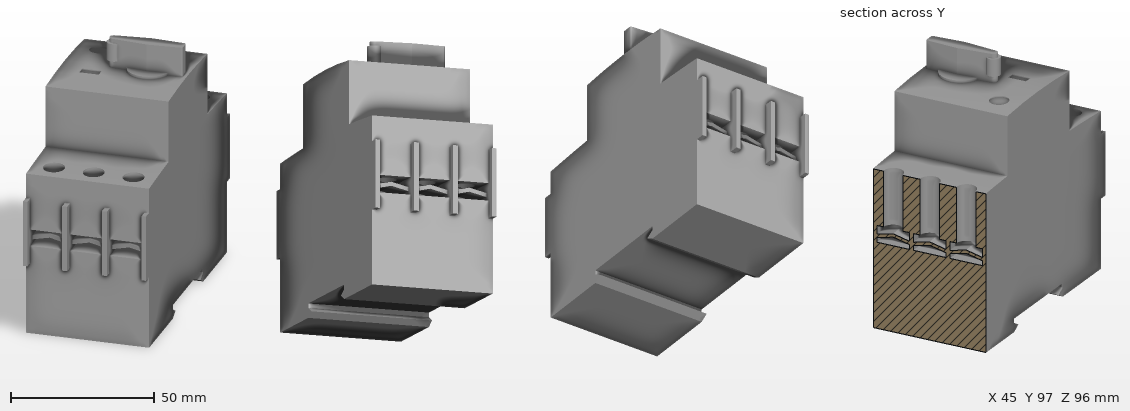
import cadquery as cq
import math


width = 45.0
total_depth = 97.0
total_height = 96.0
body_depth = 90.0
tower_depth = 45.0
tower_crown_z = 85.1
tower_edge_z = 84.1
shoulder_inner_z = 61.3
shoulder_outer_z = 60.1

rail_slot_half = 17.6
rail_slot_height = 5.1
hook_reach = 3.1
hook_tip_z = 1.7
hook_top_z = 3.5

pole_pitch = 14.55
pole_positions = (-pole_pitch, 0.0, pole_pitch)
fin_positions = (-1.5 * pole_pitch, -pole_pitch / 2, pole_pitch / 2, 1.5 * pole_pitch)
fin_thickness = 1.8
fin_bottom_z = 26.7
fin_top_z = 51.0

chamber_width = pole_pitch - fin_thickness
chamber_depth = 12.0
chamber_floor_z = 33.0
chamber_ceiling_z = 39.2
clamp_setback = 2.1
clamp_thickness = 1.5
clamp_edge_z = 36.1
clamp_rise = 1.5
screw_hole_diameter = 7.7
screw_hole_y = 37.8

mark_depth = 0.6
button_diameter = 7.1
button_center = (-14.1, 13.1)
window_length = 7.1
window_width = 3.3
window_center = (-11.0, -7.0)

pivot_x = 8.3
disc_radius = 8.05
disc_top_z = 86.0
handle_nose_radius = 1.65
handle_nose_x = -4.6
handle_half_waist = 3.0
handle_tail_x = 21.1
handle_half_tail = 2.1
handle_tail_fillet = 0.7
sleeve_radius = 2.6
sleeve_bottom_z = 87.8
sleeve_top_z = 94.4
handle_overlap = 0.5
embed_z = tower_crown_z - handle_overlap

half_body = body_depth / 2
half_tower = tower_depth / 2


def shoulder_z(y):
    """Height of the shoulder roof, an arc about a centre on the Y = 0 plane."""
    inner_sq = half_tower ** 2 - half_body ** 2
    drop = shoulder_inner_z - shoulder_outer_z
    center_z = (shoulder_inner_z + shoulder_outer_z) / 2 + inner_sq / (2 * drop)
    radius = math.hypot(half_body, shoulder_outer_z - center_z)
    return center_z + math.sqrt(radius ** 2 - y ** 2)


def make_housing():
    """Stepped side profile with arched roofs and the hooked rail slot, run across the full width."""
    shoulder_mid = (half_body + half_tower) / 2
    hook_tip = rail_slot_half - hook_reach
    profile = (
        cq.Workplane("YZ", origin=(-width / 2, 0, 0))
        .moveTo(rail_slot_half, 0)
        .lineTo(half_body, 0)
        .lineTo(half_body, shoulder_outer_z)
        .threePointArc((shoulder_mid, shoulder_z(shoulder_mid)), (half_tower, shoulder_inner_z))
        .lineTo(half_tower, tower_edge_z)
        .threePointArc((0, tower_crown_z), (-half_tower, tower_edge_z))
        .lineTo(-half_tower, shoulder_inner_z)
        .threePointArc((-shoulder_mid, shoulder_z(shoulder_mid)), (-half_body, shoulder_outer_z))
        .lineTo(-half_body, 0)
        .lineTo(-rail_slot_half, 0)
        .lineTo(-hook_tip, hook_tip_z)
        .lineTo(-rail_slot_half, hook_top_z)
        .lineTo(-rail_slot_half, rail_slot_height)
        .lineTo(rail_slot_half, rail_slot_height)
        .lineTo(rail_slot_half, hook_top_z)
        .lineTo(hook_tip, hook_tip_z)
        .close()
    )
    return profile.extrude(width)


def make_fins():
    """Barrier fins beside every pole; the outer two are trimmed flush with the sides."""
    fin_height = fin_top_z - fin_bottom_z
    fins = cq.Workplane("XY")
    for fin_x in fin_positions:
        fin = cq.Workplane("XY", origin=(fin_x, 0, fin_bottom_z))
        fins = fins.union(fin.box(fin_thickness, total_depth, fin_height, centered=(True, True, False)))
    envelope = cq.Workplane("XY").box(width, total_depth, total_height, centered=(True, True, False))
    return fins.intersect(envelope)


def make_clamp_plate(x):
    """Ridged plate spanning one front chamber from side to side and back to its inner wall."""
    half = chamber_width / 2
    ridge_z = clamp_edge_z + clamp_rise
    return (
        cq.Workplane("XZ", origin=(x, -half_body + clamp_setback, 0))
        .moveTo(-half, clamp_edge_z - clamp_thickness)
        .lineTo(0, ridge_z - clamp_thickness)
        .lineTo(half, clamp_edge_z - clamp_thickness)
        .lineTo(half, clamp_edge_z)
        .lineTo(0, ridge_z)
        .lineTo(-half, clamp_edge_z)
        .close()
        .extrude(clamp_setback - chamber_depth)
    )


def make_terminal_void(x):
    """Space removed for one front terminal: chamber and screw hole around the clamp plate."""
    chamber = cq.Workplane("XY", origin=(x, -half_body, chamber_floor_z)).box(
        chamber_width,
        chamber_depth,
        chamber_ceiling_z - chamber_floor_z,
        centered=(True, False, False),
    )
    screw_hole = (
        cq.Workplane("XY", origin=(x, -screw_hole_y, clamp_edge_z))
        .circle(screw_hole_diameter / 2)
        .extrude(shoulder_inner_z - clamp_edge_z)
    )
    return chamber.union(screw_hole).cut(make_clamp_plate(x))


def make_roof_marks():
    """Round button outline and rectangular window, sunk slightly below the arched roof."""
    lowered_housing = make_housing().translate((0, 0, -mark_depth))
    button = cq.Workplane("XY", origin=(*button_center, shoulder_inner_z)).circle(button_diameter / 2)
    window = cq.Workplane("XY", origin=(*window_center, shoulder_inner_z)).rect(window_length, window_width)
    column_height = tower_crown_z - shoulder_inner_z
    columns = button.extrude(column_height).union(window.extrude(column_height))
    return columns.cut(lowered_housing)


def make_handle():
    """Tapered grip over a round base disc, with a sleeve around its nose."""
    disc = (
        cq.Workplane("XY", origin=(pivot_x, 0, embed_z))
        .circle(disc_radius)
        .extrude(disc_top_z - embed_z)
    )
    grip = (
        cq.Workplane("XY", origin=(0, 0, embed_z))
        .moveTo(handle_nose_x, handle_nose_radius)
        .lineTo(pivot_x, handle_half_waist)
        .lineTo(handle_tail_x, handle_half_tail)
        .lineTo(handle_tail_x, -handle_half_tail)
        .lineTo(pivot_x, -handle_half_waist)
        .lineTo(handle_nose_x, -handle_nose_radius)
        .threePointArc((handle_nose_x - handle_nose_radius, 0), (handle_nose_x, handle_nose_radius))
        .close()
        .extrude(total_height - embed_z)
        .edges("|Z and >X")
        .fillet(handle_tail_fillet)
    )
    sleeve = (
        cq.Workplane("XY", origin=(handle_nose_x, 0, sleeve_bottom_z))
        .circle(sleeve_radius)
        .extrude(sleeve_top_z - sleeve_bottom_z)
    )
    return disc.union(grip).union(sleeve)


result = make_housing().union(make_fins())
for pole_x in pole_positions:
    front_void = make_terminal_void(pole_x)
    result = result.cut(front_void)
    result = result.cut(front_void.mirror("XZ"))
result = result.cut(make_roof_marks()).union(make_handle())